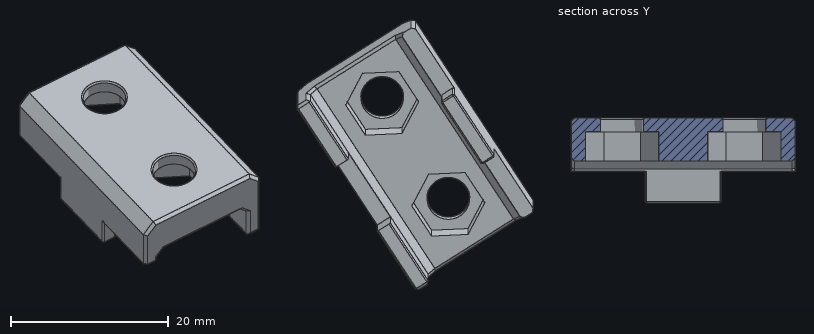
import cadquery as cq
import math

length = 28.4
width = 17.8
height = 10.8
top_chamfer = 1.5
leg_thickness = 2.0
channel_height = 5.3
channel_chamfer = 1.0
end_chamfer = 0.4
edge_break = 0.2

tongue_width = 9.65
tongue_clearance = 0.09
notch_height = 4.0

hole_diameter = 5.4
hole_spacing = 15.5
pocket_roof = 1.8
nut_across_flats = 8.0

half_width = width / 2
channel_half_width = half_width - leg_thickness


def channel_body():
    """Channel section extruded along X, with both end outlines chamfered."""
    right_half = [
        (half_width - top_chamfer, height),
        (half_width, height - top_chamfer),
        (half_width, 0),
        (channel_half_width, 0),
        (channel_half_width, channel_height - channel_chamfer),
        (channel_half_width - channel_chamfer, channel_height),
    ]
    left_half = [(-y, z) for y, z in reversed(right_half)]
    section = cq.Workplane("YZ").polyline(right_half + left_half).close()
    body = section.extrude(length / 2, both=True)
    return body.faces("<X or >X").chamfer(end_chamfer)


def leg_cutter(cut_length, x, leg_side):
    """Block through the lower part of one leg (leg_side is -1 for front, 1 for back), centred at x."""
    y = leg_side * (half_width - leg_thickness / 2)
    block = cq.Workplane("XY").box(cut_length, leg_thickness, notch_height, centered=(True, True, False))
    return block.translate((x, y, 0))


def shape_front_leg(body):
    """Remove both ends of the front leg and break the edges of the remaining tongue."""
    notch_length = (length - tongue_width) / 2
    notch_x = (tongue_width + notch_length) / 2
    for x in (-notch_x, notch_x):
        body = body.cut(leg_cutter(notch_length, x, -1))
    tongue_box = cq.selectors.BoxSelector((-tongue_width, -width, 0), (tongue_width, 0, notch_height))
    body = body.edges("|Z").edges(tongue_box).chamfer(edge_break)
    front_half = cq.selectors.BoxSelector((-length, -width, -height), (length, 0, height))
    return body.faces("<Z").edges(front_half).chamfer(edge_break)


def shape_back_leg(body):
    """Break the long bottom edges of the back leg and cut its central gap."""
    back_half = cq.selectors.BoxSelector((-length, 0, -height), (length, width, height))
    body = body.faces("<Z").edges("|X").edges(back_half).chamfer(edge_break)
    return body.cut(leg_cutter(tongue_width + 2 * tongue_clearance, 0, 1))


def cut_nut_hole(body, x):
    """Drill one bolt hole, chamfer its top rim and sink the nut pocket from below."""
    hole_radius = hole_diameter / 2
    hole = cq.Workplane("XY").center(x, 0).circle(hole_radius).extrude(height)
    rim = cq.Workplane(
        cq.Solid.makeCone(hole_radius, hole_radius + edge_break, edge_break)
    ).translate((x, 0, height - edge_break))
    across_corners = nut_across_flats / math.cos(math.pi / 6)
    pocket = cq.Workplane("XY").center(x, 0).polygon(6, across_corners).extrude(height - pocket_roof)
    return body.cut(hole).cut(rim).cut(pocket)


result = channel_body()
result = shape_front_leg(result)
result = shape_back_leg(result)
for hole_x in (-hole_spacing / 2, hole_spacing / 2):
    result = cut_nut_hole(result, hole_x)